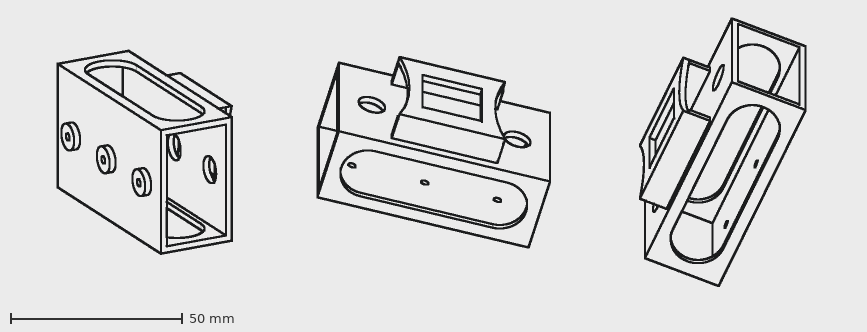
import cadquery as cq

length = 64.0
depth = 23.5
height = 38.4
wall = 2.0

slot_length = 56.0
slot_width = 16.0

boss_diameter = 8.0
boss_height = wall
screw_diameter = 2.2
access_diameter = 8.0
boss_pitch = 22.0
boss_positions = [(-boss_pitch, 0), (0, 0), (boss_pitch, 0)]

bracket_size = 32.0
bracket_reach = 8.5
side_hollow = 3.0
window_size = 18.0

front_y = -depth / 2
rear_y = depth / 2
plate_y = rear_y + bracket_reach - wall
half_bracket = bracket_size / 2
waist_x = half_bracket - side_hollow


def extrude_rearward(y):
    """XZ sketch at the given Y; negative extrusions run toward +Y."""
    return cq.Workplane("XZ", origin=(0, y, 0))


def make_sleeve():
    outer = cq.Workplane("XY").box(length, depth, height)
    cavity = cq.Workplane("XY").box(length, depth - 2 * wall, height - 2 * wall)
    slots = cq.Workplane("XY").slot2D(slot_length, slot_width).extrude(height / 2, both=True)
    access = (
        extrude_rearward(0)
        .pushPoints(boss_positions)
        .circle(access_diameter / 2)
        .extrude(-depth / 2)
    )
    return outer.cut(cavity).cut(slots).cut(access)


def make_bracket():
    plate = (
        extrude_rearward(plate_y)
        .moveTo(-half_bracket, half_bracket)
        .lineTo(half_bracket, half_bracket)
        .threePointArc((waist_x, 0), (half_bracket, -half_bracket))
        .lineTo(-half_bracket, -half_bracket)
        .threePointArc((-waist_x, 0), (-half_bracket, half_bracket))
        .close()
        .extrude(-wall)
    )
    window = extrude_rearward(plate_y).rect(window_size, window_size).extrude(-wall)
    bracket = plate.cut(window)
    shelf_z = half_bracket - wall / 2
    for z in (-shelf_z, shelf_z):
        shelf_y = rear_y + bracket_reach / 2
        shelf = cq.Workplane("XY").box(bracket_size, bracket_reach, wall)
        shelf = shelf.translate((0, shelf_y, z))
        plate_space = cq.Workplane("XY").box(bracket_size, wall, bracket_size)
        plate_space = plate_space.translate((0, plate_y + wall / 2, 0))
        bracket = bracket.union(shelf.cut(plate_space))
    return bracket


def add_bosses(body):
    bosses = (
        extrude_rearward(front_y)
        .pushPoints(boss_positions)
        .circle(boss_diameter / 2)
        .extrude(boss_height)
    )
    screw_holes = (
        extrude_rearward(front_y - boss_height)
        .pushPoints(boss_positions)
        .circle(screw_diameter / 2)
        .extrude(-(boss_height + wall))
    )
    return body.union(bosses).cut(screw_holes)


result = add_bosses(make_sleeve().union(make_bracket()))